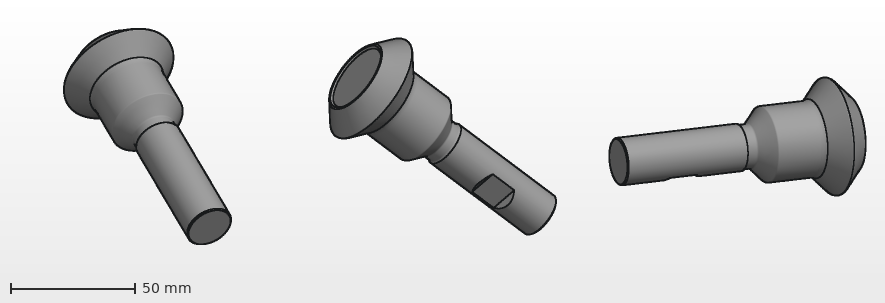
import cadquery as cq
import math

DIAGONAL = math.sqrt(0.5)

length = 101.8

ridge_radius = 23.98
ridge_x = 8.7
ridge_round = 0.9
rim_inner_radius = 14.9
recess_depth = 0.8

body_radius = 15.6
head_cove_start_x = 16.9
head_cove_end_x = 19.3
body_end_x = 37.7
body_end_round = 0.9

neck_radius = 9.1
neck_cove = 1.1
neck_end_x = 48.2
shank_cove = 0.7
shank_radius = 9.7
shank_end_chamfer = 0.5

notch_center_x = 75.8
notch_floor_length = 11.8
notch_floor_z = -7.5

ridge_half_width = ridge_round * DIAGONAL
ridge_cone_radius = ridge_radius - ridge_round * (1 - DIAGONAL)
front_tangent_x = ridge_x - ridge_half_width
back_tangent_x = ridge_x + ridge_half_width
rim_outer_radius = ridge_cone_radius - front_tangent_x
plug_radius = rim_inner_radius - recess_depth


def eighth_arc(profile, start, radius, start_angle, end_angle):
    """Add a 45 degree arc from start and return its end; angles are about its center."""
    def offset(angle):
        turn = math.radians(angle)
        return radius * math.cos(turn), radius * math.sin(turn)

    def point(angle):
        return (
            start[0] - offset(start_angle)[0] + offset(angle)[0],
            start[1] - offset(start_angle)[1] + offset(angle)[1],
        )

    middle_angle = (start_angle + end_angle) / 2
    return profile.threePointArc(point(middle_angle), point(end_angle)), point(end_angle)


def revolve_about_x(profile):
    return profile.close().revolve(360, (0, 0, 0), (1, 0, 0))


def make_front_ring():
    """Front cone, up to the crest of the ridge, around the plug of the shank body."""
    profile = (
        cq.Workplane("XY")
        .moveTo(0, rim_inner_radius)
        .lineTo(0, rim_outer_radius)
        .lineTo(front_tangent_x, ridge_cone_radius)
    )
    profile, _ = eighth_arc(profile, (front_tangent_x, ridge_cone_radius), ridge_round, 135, 90)
    profile = profile.lineTo(ridge_x, plug_radius).lineTo(recess_depth, plug_radius)
    return revolve_about_x(profile)


def make_notch():
    """Trapezoidal cutter across the shank, with 45 degree ends."""
    depth = shank_radius + notch_floor_z
    half_floor = notch_floor_length / 2
    half_mouth = half_floor + depth
    return (
        cq.Workplane("XZ")
        .moveTo(notch_center_x - half_floor, notch_floor_z)
        .lineTo(notch_center_x + half_floor, notch_floor_z)
        .lineTo(notch_center_x + half_mouth, -shank_radius)
        .lineTo(notch_center_x - half_mouth, -shank_radius)
        .close()
        .extrude(shank_radius, both=True)
    )


def make_shank_body():
    """Plug, back cone of the head, body, neck and notched shank."""
    profile = (
        cq.Workplane("XY")
        .moveTo(recess_depth, 0)
        .lineTo(recess_depth, plug_radius)
        .lineTo(ridge_x, plug_radius)
        .lineTo(ridge_x, ridge_radius)
    )
    profile, _ = eighth_arc(profile, (ridge_x, ridge_radius), ridge_round, 90, 45)

    cove_start_radius = ridge_cone_radius - (head_cove_start_x - back_tangent_x)
    cove_length = head_cove_end_x - head_cove_start_x
    cove_rise = cove_start_radius - body_radius
    cove_radius = (cove_length**2 + cove_rise**2) / (2 * cove_rise)
    cove_half_angle = math.asin(cove_length / cove_radius) / 2
    cove_middle = (
        head_cove_end_x - cove_radius * math.sin(cove_half_angle),
        body_radius + cove_radius * (1 - math.cos(cove_half_angle)),
    )
    profile = (
        profile.lineTo(head_cove_start_x, cove_start_radius)
        .threePointArc(cove_middle, (head_cove_end_x, body_radius))
        .lineTo(body_end_x, body_radius)
    )

    profile, shoulder = eighth_arc(profile, (body_end_x, body_radius), body_end_round, 90, 45)
    neck_cone_end_radius = neck_radius + neck_cove * (1 - DIAGONAL)
    neck_cone_end = (shoulder[0] + shoulder[1] - neck_cone_end_radius, neck_cone_end_radius)
    profile, _ = eighth_arc(profile.lineTo(*neck_cone_end), neck_cone_end, neck_cove, 225, 270)

    profile = profile.lineTo(neck_end_x, neck_radius)
    profile, chamfer_start = eighth_arc(profile, (neck_end_x, neck_radius), shank_cove, 270, 315)
    profile = (
        profile.lineTo(chamfer_start[0] + shank_radius - chamfer_start[1], shank_radius)
        .lineTo(length - shank_end_chamfer, shank_radius)
        .lineTo(length, shank_radius - shank_end_chamfer)
        .lineTo(length, 0)
    )
    return revolve_about_x(profile).cut(make_notch()).solids()


front_ring = make_front_ring()
shank_body = make_shank_body()

result = cq.Compound.makeCompound([front_ring.val(), shank_body.val()])